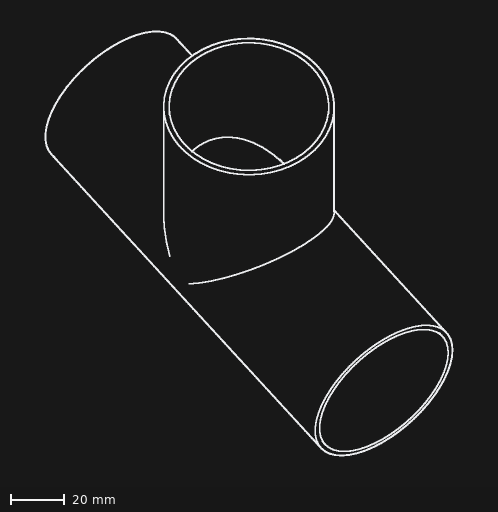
import cadquery as cq

run_length = 170.0
outer_diameter = 63.5
inner_diameter = 59.5
branch_height = run_length / 2


def tee_body(diameter):
    """Solid tee of one diameter, with both axes meeting at the origin."""
    run = cq.Workplane("YZ").circle(diameter / 2).extrude(run_length / 2, both=True)
    branch = cq.Workplane("XY").circle(diameter / 2).extrude(branch_height)
    return run.union(branch)


result = tee_body(outer_diameter).cut(tee_body(inner_diameter))